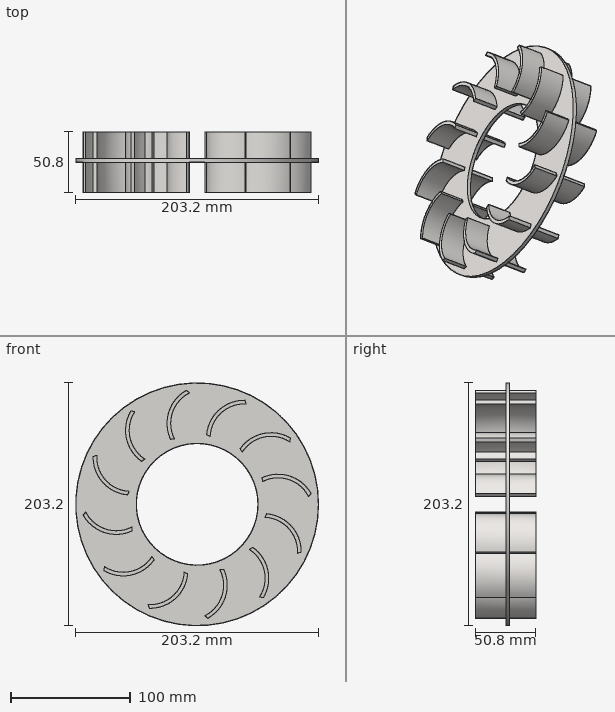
import cadquery as cq
import math

disc_diameter = 203.2
bore_diameter = 101.5
disc_thickness = 3.3

blade_count = 12
blade_width = 50.8
blade_outer_radius = 31.7
blade_thickness = 3.0
blade_inner_radius = blade_outer_radius - blade_thickness
blade_outer_half_angle = 42.8
blade_inner_half_angle = 45.1

blade_centre_x = 67.7
blade_centre_z = -6.5
blade_mid_direction = 72.0


def arc_point(radius, angle_from_middle):
    """Point on one of the first blade's arcs, as (x, z)."""
    angle = math.radians(blade_mid_direction + angle_from_middle)
    return (
        blade_centre_x + radius * math.cos(angle),
        blade_centre_z + radius * math.sin(angle),
    )


def make_disc():
    """Ring whose front face (toward -Y) lies on the XZ plane."""
    return (
        cq.Workplane("XZ")
        .circle(disc_diameter / 2)
        .circle(bore_diameter / 2)
        .extrude(-disc_thickness)
    )


def make_blade():
    """First blade: two concentric arcs joined by straight ends, centred on the XZ plane."""
    return (
        cq.Workplane("XZ")
        .moveTo(*arc_point(blade_outer_radius, blade_outer_half_angle))
        .threePointArc(
            arc_point(blade_outer_radius, 0),
            arc_point(blade_outer_radius, -blade_outer_half_angle),
        )
        .lineTo(*arc_point(blade_inner_radius, -blade_inner_half_angle))
        .threePointArc(
            arc_point(blade_inner_radius, 0),
            arc_point(blade_inner_radius, blade_inner_half_angle),
        )
        .close()
        .extrude(blade_width / 2, both=True)
    )


result = make_disc()
blade = make_blade()
for index in range(blade_count):
    angle = index * 360 / blade_count
    result = result.union(blade.rotate((0, 0, 0), (0, 1, 0), angle))